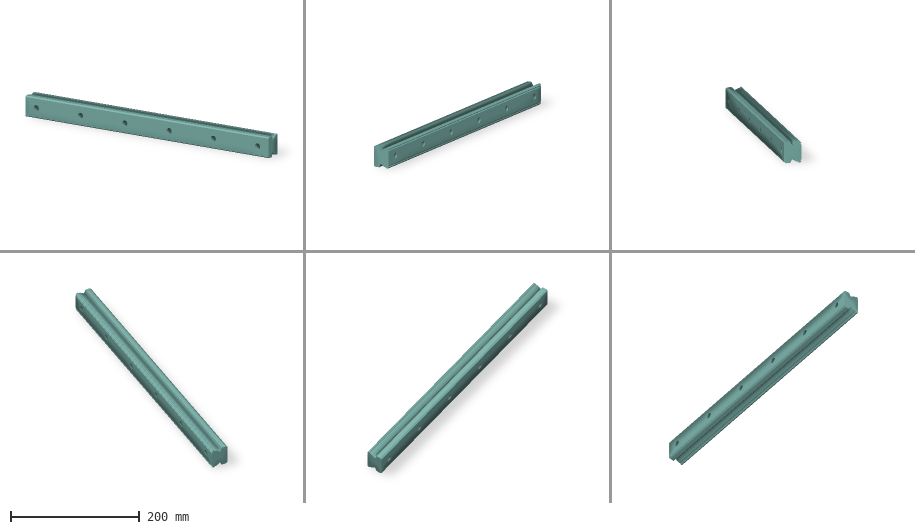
import cadquery as cq

length = 440.0
depth = 27.5
height = 34.0

base_chamfer_run = 2.5
base_chamfer_rise = 1.8
base_depth = 9.5

channel_drop = 5.5
floor_start = 12.5
floor_end = 14.5
lip_drop = 5.0

groove_start = 20.2
groove_start_drop = 1.8
groove_end = 23.8
groove_sag = -0.65

head_chamfer = 2.0
notch_center_drop = 4.0
notch_half_width = 1.5
notch_depth = 1.5

hole_count = 6
hole_diameter = 9.2
hole_end_margin = 20.0
hole_pitch = (length - 2 * hole_end_margin) / (hole_count - 1)

base_y = -depth / 2
head_y = depth / 2
top_z = height / 2


def profile_point(offset, drop):
    """Point at an offset from the base face and a drop below the top."""
    return (base_y + offset, top_z - drop)


def make_upper_half():
    """Extrude the upper half of the rail section along X."""
    return (
        cq.Workplane("YZ", origin=(-length / 2, 0, 0))
        .moveTo(base_y, 0)
        .lineTo(*profile_point(0, base_chamfer_rise))
        .lineTo(*profile_point(base_chamfer_run, 0))
        .lineTo(*profile_point(base_depth, 0))
        .lineTo(*profile_point(floor_start, channel_drop))
        .lineTo(*profile_point(floor_end, channel_drop))
        .lineTo(*profile_point(floor_end, lip_drop))
        .lineTo(*profile_point(groove_start, groove_start_drop))
        .sagittaArc(profile_point(groove_end, 0), groove_sag)
        .lineTo(*profile_point(depth - head_chamfer, 0))
        .lineTo(*profile_point(depth, head_chamfer))
        .lineTo(*profile_point(depth, notch_center_drop - notch_half_width))
        .lineTo(*profile_point(depth - notch_depth, notch_center_drop))
        .lineTo(*profile_point(depth, notch_center_drop + notch_half_width))
        .lineTo(head_y, 0)
        .close()
        .extrude(length)
    )


def make_mounting_holes():
    """Cylinders that pass through the full depth of the rail."""
    first_hole_x = -length / 2 + hole_end_margin
    positions = [(first_hole_x + i * hole_pitch, 0) for i in range(hole_count)]
    return (
        cq.Workplane("XZ", origin=(0, head_y, 0))
        .pushPoints(positions)
        .circle(hole_diameter / 2)
        .extrude(depth)
    )


upper_half = make_upper_half()
rail = upper_half.union(upper_half.mirror("XY")).clean()
result = rail.cut(make_mounting_holes())